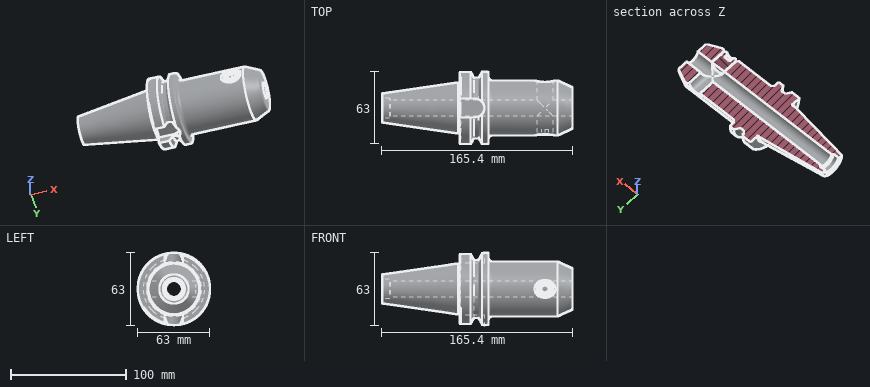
import cadquery as cq
import math

taper_length = 65.4
reach = 100.0
gauge_diameter = 44.45
taper_ratio = 7 / 24
total_length = taper_length + reach

flange_diameter = 63.0
flange_front_x = taper_length + 2.0
flange_back_x = taper_length + 27.0
flange_edge_fillet = 1.0
neck_diameter = 44.0
neck_start_x = taper_length + 0.4
neck_floor_width = 0.5
undercut_depth = 0.5
undercut_diameter = 44.6
groove_diameter = 53.0
groove_center_x = taper_length + 16.45
groove_floor_width = 4.3
groove_flank_angle = math.radians(30)
groove_root_fillet = 0.5

nose_diameter = 48.0
nose_root_fillet = 3.0
nose_cone_x = total_length - 13.0
nose_cone_angle = math.radians(25)
nose_end_fillet = 2.0

bore_diameter = 14.0
pilot_diameter = 17.0
pilot_mouth_diameter = 19.0
pilot_depth = 6.5
thread_mouth_diameter = 16.0

slot_width = 16.1
slot_floor_height = 22.6
slot_end_x = taper_length + 23.4

screw_x = total_length - 24.0
screw_diameter = 14.0
screw_face_diameter = 11.3
screw_face_y = -23.6
socket_width = 6.0
socket_depth = 5.0
socket_mouth_diameter = 8.2
countersink_diameter = 18.0

flange_radius = flange_diameter / 2
groove_radius = groove_diameter / 2
nose_radius = nose_diameter / 2
bore_radius = bore_diameter / 2
gauge_radius = gauge_diameter / 2
screw_radius = screw_diameter / 2

arc_mid_inset = 1 - math.sqrt(0.5)


def holder_profile():
    taper_end_radius = gauge_radius - taper_length * taper_ratio / 2
    groove_run = (flange_radius - groove_radius) * math.tan(groove_flank_angle)
    floor_start = groove_center_x - groove_floor_width / 2
    floor_end = groove_center_x + groove_floor_width / 2
    neck_floor_x = neck_start_x + (gauge_diameter - neck_diameter)
    flange_edge_mid = flange_edge_fillet * arc_mid_inset
    nose_root_mid = nose_root_fillet * arc_mid_inset
    nose_end_radius = nose_radius - (total_length - nose_cone_x) * math.tan(nose_cone_angle)
    return (
        cq.Workplane("XY")
        .moveTo(0, 0)
        .lineTo(0, taper_end_radius)
        .lineTo(taper_length, gauge_radius)
        .lineTo(neck_start_x, gauge_radius)
        .lineTo(neck_floor_x, neck_diameter / 2)
        .lineTo(neck_floor_x + neck_floor_width, neck_diameter / 2)
        .lineTo(flange_front_x + undercut_depth, undercut_diameter / 2)
        .lineTo(flange_front_x, undercut_diameter / 2 + undercut_depth)
        .lineTo(flange_front_x, flange_radius - flange_edge_fillet)
        .threePointArc(
            (flange_front_x + flange_edge_mid, flange_radius - flange_edge_mid),
            (flange_front_x + flange_edge_fillet, flange_radius),
        )
        .lineTo(floor_start - groove_run, flange_radius)
        .lineTo(floor_start, groove_radius)
        .lineTo(floor_end, groove_radius)
        .lineTo(floor_end + groove_run, flange_radius)
        .lineTo(flange_back_x - flange_edge_fillet, flange_radius)
        .threePointArc(
            (flange_back_x - flange_edge_mid, flange_radius - flange_edge_mid),
            (flange_back_x, flange_radius - flange_edge_fillet),
        )
        .lineTo(flange_back_x, nose_radius + nose_root_fillet)
        .threePointArc(
            (flange_back_x + nose_root_mid, nose_radius + nose_root_mid),
            (flange_back_x + nose_root_fillet, nose_radius),
        )
        .lineTo(nose_cone_x, nose_radius)
        .lineTo(total_length, nose_end_radius)
        .lineTo(total_length, 0)
        .close()
    )


def axial_bore():
    mouth_depth = (pilot_mouth_diameter - pilot_diameter) / 2
    thread_chamfer = (thread_mouth_diameter - bore_diameter) / 2
    return (
        cq.Workplane("XY")
        .moveTo(0, 0)
        .lineTo(0, pilot_mouth_diameter / 2)
        .lineTo(mouth_depth, pilot_diameter / 2)
        .lineTo(pilot_depth, pilot_diameter / 2)
        .lineTo(pilot_depth, thread_mouth_diameter / 2)
        .lineTo(pilot_depth + thread_chamfer, bore_radius)
        .lineTo(total_length, bore_radius)
        .lineTo(total_length, 0)
        .close()
        .revolve(360, (0, 0, 0), (1, 0, 0))
    )


def drive_slot(side):
    end_center_x = slot_end_x - slot_width / 2
    depth = flange_radius - slot_floor_height + 1
    return (
        cq.Workplane("XY", origin=(0, 0, side * slot_floor_height))
        .moveTo(taper_length, -slot_width / 2)
        .lineTo(end_center_x, -slot_width / 2)
        .threePointArc((slot_end_x, 0), (end_center_x, slot_width / 2))
        .lineTo(taper_length, slot_width / 2)
        .close()
        .extrude(side * depth)
    )


def screw_hole():
    sink = (countersink_diameter - screw_diameter) / 2
    return (
        cq.Workplane("XY", origin=(screw_x, 0, 0))
        .moveTo(0, -nose_radius)
        .lineTo(countersink_diameter / 2, -nose_radius)
        .lineTo(screw_radius, -nose_radius + sink)
        .lineTo(screw_radius, nose_radius - sink)
        .lineTo(countersink_diameter / 2, nose_radius)
        .lineTo(0, nose_radius)
        .close()
        .revolve(360, (0, 0, 0), (0, 1, 0))
    )


def make_holder():
    body = holder_profile().revolve(360, (0, 0, 0), (1, 0, 0))
    groove_floor = cq.selectors.BoxSelector(
        (groove_center_x - groove_floor_width, -flange_diameter, -flange_diameter),
        (groove_center_x + groove_floor_width, flange_diameter, flange_diameter), boundingbox=True)
    body = body.faces(groove_floor).edges("%CIRCLE").fillet(groove_root_fillet)
    body = body.faces(">X").edges().fillet(nose_end_fillet)
    body = body.cut(axial_bore())
    for side in (1, -1):
        body = body.cut(drive_slot(side))
    return body.cut(screw_hole())


def make_screw():
    chamfer = (screw_diameter - screw_face_diameter) / 2
    length = -bore_radius - screw_face_y
    corner_diameter = socket_width / math.cos(math.pi / 6)
    face = cq.Plane(origin=(screw_x, screw_face_y, 0), xDir=(0, 0, 1), normal=(0, 1, 0))
    screw = cq.Workplane(face).circle(screw_radius).extrude(length).faces("<Y").chamfer(chamfer)
    socket = cq.Workplane(face).polygon(6, corner_diameter).extrude(socket_depth)
    mouth = cq.Workplane(cq.Solid.makeCone(
        socket_mouth_diameter / 2, 0, socket_mouth_diameter / 2 * math.tan(math.pi / 6),
        face.origin, face.zDir))
    return screw.cut(socket).cut(mouth)


holder = make_holder()
screw = make_screw()
result = cq.Compound.makeCompound([holder.val(), screw.val()])